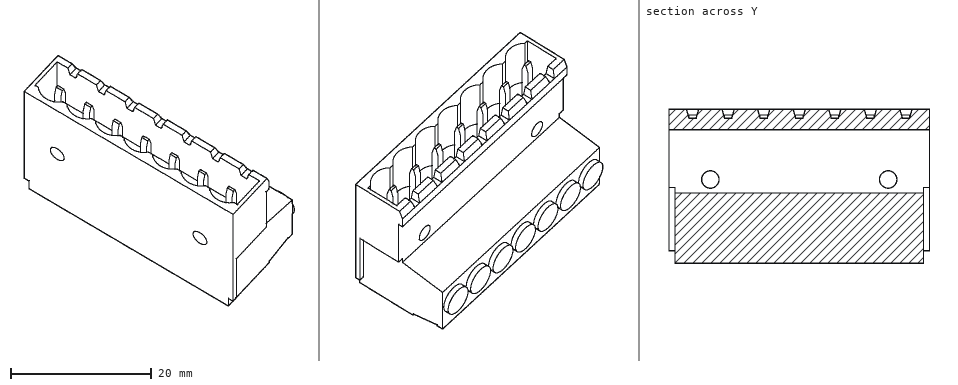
import cadquery as cq


contact_count = 7
row_length = 30.45
pitch = row_length / (contact_count - 1)

length = 37.17
height = 22.0
housing_depth = 7.9
housing_bottom = 10.85

lip_back = 8.62
lip_top_back = 8.1
lip_bottom = 19.03
lip_slope_bottom = 20.75

plate_thickness = 0.78
plate_bottom = 1.8

block_length = 35.45
block_back = 15.3
block_back_top = 8.9
block_shoulder_top = 10.07
block_back_bottom = 0.93
ledge_front = 14.3
ledge_step = 0.2
under_slope_front = 9.85
under_slope_bottom = 0.3

screw_diameter = 4.5
screw_height = 5.5
screw_back = 16.15

socket_end_wall = 0.6
socket_front = 1.82
socket_back = 7.1
socket_floor = 13.53
scallop_front = 0.8
scallop_width = 4.35

notch_floor_width = 1.0
notch_top_width = 1.7
notch_floor = lip_slope_bottom

pin_width = 1.08
pin_centre_y = 4.05
pin_top = 21.2
pin_ridge_thickness = 0.37
pin_taper_height = 1.23

hole_diameter = 2.45
hole_height = 11.97
hole_spacing_in_pitches = 5
hole_x = hole_spacing_in_pitches * pitch / 2

contact_positions = [(i - (contact_count - 1) / 2) * pitch for i in range(contact_count)]


def box(x_size, y_range, z_range):
    """Box centred on X = 0 between the given Y and Z limits."""
    y_min, y_max = y_range
    z_min, z_max = z_range
    return (
        cq.Workplane("XY", origin=(0, 0, z_min))
        .rect(x_size, y_max - y_min)
        .extrude(z_max - z_min)
        .translate((0, (y_min + y_max) / 2, 0))
    )


def side_profile(points, x_size):
    """Closed (Y, Z) outline extruded symmetrically about X = 0."""
    return cq.Workplane("YZ").polyline(points).close().extrude(x_size / 2, both=True)


def make_housing():
    outline = [
        (0, housing_bottom),
        (0, height),
        (lip_top_back, height),
        (lip_back, lip_slope_bottom),
        (lip_back, lip_bottom),
        (housing_depth, lip_bottom),
        (housing_depth, housing_bottom),
    ]
    plate = box(length, (0, plate_thickness), (plate_bottom, housing_bottom))
    return side_profile(outline, length).union(plate)


def make_terminal_block():
    outline = [
        (0, 0),
        (0, housing_bottom),
        (housing_depth, housing_bottom),
        (housing_depth, block_shoulder_top),
        (block_back, block_back_top),
        (block_back, block_back_bottom),
        (ledge_front, block_back_bottom),
        (ledge_front, block_back_bottom + ledge_step),
        (under_slope_front, under_slope_bottom),
        (under_slope_front, 0),
    ]
    return side_profile(outline, block_length)


def make_screw_heads():
    return (
        cq.Workplane("XZ", origin=(0, block_back, 0))
        .pushPoints([(x, screw_height) for x in contact_positions])
        .circle(screw_diameter / 2)
        .extrude(block_back - screw_back)
    )


def make_scallop(x, depth):
    """Circular segment in front of the cavity, bulging towards the front face."""
    return (
        cq.Workplane("XY", origin=(0, 0, socket_floor))
        .moveTo(x - scallop_width / 2, socket_front)
        .threePointArc((x, scallop_front), (x + scallop_width / 2, socket_front))
        .close()
        .extrude(depth)
    )


def make_socket():
    """Rectangular cavity with a shallow scallop in its front wall at each contact."""
    depth = height - socket_floor
    inner_length = length - 2 * socket_end_wall
    cavity = box(inner_length, (socket_front, socket_back), (socket_floor, height))
    for x in contact_positions:
        cavity = cavity.union(make_scallop(x, depth))
    return cavity


def make_notch(x):
    """Notch with sloping sides through the back wall, between the socket and the lip."""
    outline = [
        (x - notch_floor_width / 2, notch_floor),
        (x + notch_floor_width / 2, notch_floor),
        (x + notch_top_width / 2, height),
        (x - notch_top_width / 2, height),
    ]
    return (
        cq.Workplane("XZ", origin=(0, socket_back, 0))
        .polyline(outline)
        .close()
        .extrude(socket_back - lip_back)
    )


def make_pin(x):
    """Square pin tapered to a narrow ridge, rooted in the terminal block."""
    taper_bottom = pin_top - pin_taper_height
    half_ridge = pin_ridge_thickness / 2
    half_width = pin_width / 2
    outline = [
        (pin_centre_y - half_width, block_shoulder_top),
        (pin_centre_y - half_width, taper_bottom),
        (pin_centre_y - half_ridge, pin_top),
        (pin_centre_y + half_ridge, pin_top),
        (pin_centre_y + half_width, taper_bottom),
        (pin_centre_y + half_width, block_shoulder_top),
    ]
    return side_profile(outline, pin_width).translate((x, 0, 0))


def make_mounting_holes():
    return (
        cq.Workplane("XZ")
        .pushPoints([(-hole_x, hole_height), (hole_x, hole_height)])
        .circle(hole_diameter / 2)
        .extrude(-screw_back)
    )


result = make_housing().union(make_terminal_block()).union(make_screw_heads())
result = result.cut(make_socket())
for contact_x in contact_positions:
    result = result.cut(make_notch(contact_x)).union(make_pin(contact_x))
result = result.cut(make_mounting_holes())